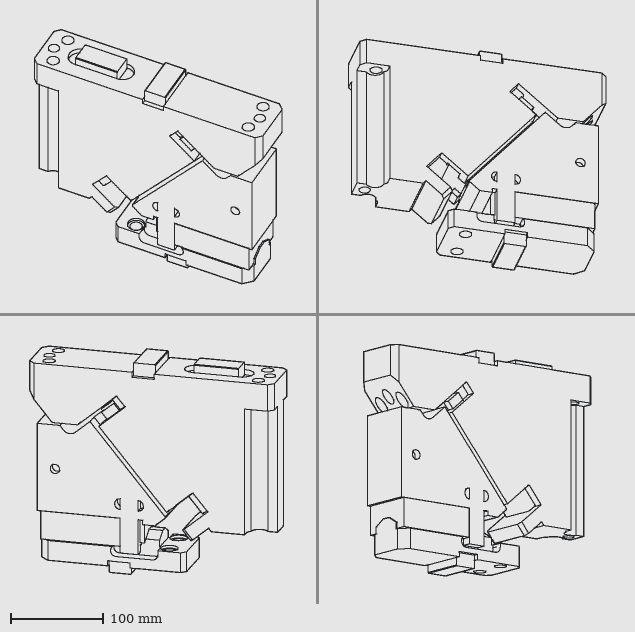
import cadquery as cq
import math


LENGTH = 277.0
WIDTH = 60.0
HALF_WIDTH = WIDTH / 2
TOTAL_HEIGHT = 243.0
SCREW_RADIUS = 6.6
SCREW_Y = 18.0
EDGE_BREAK = 0.8
KEY_LENGTH = 25.2
KEY_WIDTH = 49.9
KEY_HEIGHT = 15.0
KEY_SEAT_DEPTH = 5.8
BASE_Z = KEY_HEIGHT - KEY_SEAT_DEPTH
HOLDER_TOP = TOTAL_HEIGHT - BASE_Z

GUIDE_ANGLE = 50.0
GUIDE_X = 73.7
GUIDE_Z = 81.7
LOWER_SLOT_WIDTH = 26.0
UPPER_SLOT_START = 145.5
UPPER_SLOT_END = 160.5
HOLDER_FACE = 38.8
WEB_DEPTH = 11.4
WEB_HALF = 20.8
WEB_FILLET = 2.2
LOWER_WEB_GAP = 0.8
LIP_DEPTH = 29.5
HEAD_HALF = 22.5
NECK_HALF = 14.5
HOOK_THICKNESS = 15.0
HOOK_ROOT = 11.4
HOOK_CHAMFER = 4.0
SLIDER_FACE = 43.5
SLIDER_END = 155.5
TONGUE_START = 32.0
PAD_FACE = 40.2

HOLDER_BOTTOM = 59.3
HEADER_BOTTOM = 203.5
NOSE_X = 249.5
NOSE_Z = 167.5
NOSE_TOP = 200.0
HOLDER_CHAMFER_LEFT = 6.0
HOLDER_CHAMFER_RIGHT = 6.6
LEG_HALF = 12.0
LEG_FLAT = 10.8
LEG_RECESS = 32.0
RECESS_FLAT_HALF = 22.5
GROOVE_END = 28.8
GROOVE_RIDGE_HALF = 17.2
LEFT_SCREW_X = 20.0
RIGHT_SCREW_X = 256.5
DOWEL_RADIUS = 6.0
LEFT_DOWEL_X = 12.0
RIGHT_DOWEL_X = 261.5
POCKET_START = 30.7
POCKET_END = 108.0
POCKET_RADIUS = 12.7
LONG_KEY_LENGTH = 50.5
LONG_KEY_WIDTH = 24.0
TOP_KEY_X = 146.8

SLIDER_RIGHT = 266.8
SLIDER_TOP = 165.0
SLIDER_TIP_X = 122.0
TIP_Z = 69.8
HEEL_X = 133.2
HEEL_Z = 60.0
PLATE_TOP = 65.0
GROOVE_CORNER = 74.5
GROOVE_RADIUS = 9.5
SADDLE_START = 147.5
SADDLE_END = 263.0
SADDLE_HALF = 22.5
PLATE_BOTTOM = 32.7
FOLLOWER_START = 152.5
FOLLOWER_END = 172.8
FOLLOWER_BOTTOM = 25.2
FOLLOWER_THICKNESS = 10.5
PLATE_INSET = 0.5
SEAT_Z = 81.2
SEAT_RADIUS = 6.0
DRILL_X = 246.5
DRILL_Z = 114.7
DRILL_RADIUS = 5.3
DRILL_DEPTH = 8.3
DRILL_POINT_ANGLE = 118.0

DRIVER_LEFT = 99.2
DRIVER_RIGHT = 264.5
DRIVER_TOP = 31.9
DRIVER_CHAMFER_LEFT = 5.3
DRIVER_CHAMFER_RIGHT = 10.0
RIDGE_START = 131.9
RIDGE_HALF = 17.2
RIDGE_TOP_HALF = 4.7
RIDGE_TOP = 46.8
RIDGE_ANGLE = 30.0
NOTCH_START = 130.2
NOTCH_END = 183.7
NOTCH_BOTTOM = 20.8
NOTCH_RADIUS = 6.5
DRIVER_SCREW_X = 120.5
BORE_RADIUS = 9.5
BORE_DEPTH = 3.0
BOTTOM_KEY_X = 174.2


def guide_point(depth, along):
    """X and Z of a point given in guide coordinates."""
    angle = math.radians(GUIDE_ANGLE)
    x = GUIDE_X + depth * math.sin(angle) + along * math.cos(angle)
    z = GUIDE_Z - depth * math.cos(angle) + along * math.sin(angle)
    return x, z


def plate(points, half_thickness):
    """Plate with a given outline in the XZ plane, symmetric about Y = 0."""
    return cq.Workplane("XZ").polyline(points).close().extrude(half_thickness, both=True)


def guide_block(depths, alongs, half_thickness):
    """Block aligned with the guide, symmetric about Y = 0."""
    (d0, d1), (a0, a1) = depths, alongs
    corners = [guide_point(d0, a0), guide_point(d1, a0), guide_point(d1, a1), guide_point(d0, a1)]
    return plate(corners, half_thickness)


def box(x0, x1, y0, y1, z0, z1):
    """Box between two limits along each axis."""
    return cq.Workplane("XY").box(x1 - x0, y1 - y0, z1 - z0, centered=False).translate((x0, y0, z0))


def both_sides(body):
    """A shape together with its mirror image across Y = 0."""
    return body.union(body.mirror("XZ"))


def arc_radius(height, half_chord):
    """Radius of a circle from the height of a segment and half its chord."""
    return (height**2 + half_chord**2) / (2 * height)


def vertical_hole(x, y, radius, bottom, top):
    """Cylinder along Z used as a cutter."""
    return cq.Workplane("XY", origin=(x, y, bottom)).circle(radius).extrude(top - bottom)


def cross_key(x, bottom, outer_face):
    """Key lying across the unit, with the long edges of its outer face broken."""
    key = cq.Workplane("XY", origin=(x, 0, bottom)).rect(KEY_LENGTH, KEY_WIDTH).extrude(KEY_HEIGHT)
    return key.faces(outer_face).edges("|Y").chamfer(EDGE_BREAK)


def cross_key_seat(x, bottom):
    """Cutter for a key seat that runs across the full width."""
    return cq.Workplane("XY", origin=(x, 0, bottom)).rect(KEY_LENGTH, WIDTH).extrude(KEY_SEAT_DEPTH)


def holder_blank():
    """Main plate with both cross slots, the guide face and the hook."""
    angle = math.radians(GUIDE_ANGLE)
    hook_root = guide_point(HOOK_ROOT, -HOOK_THICKNESS)
    relief_x = hook_root[0] - (hook_root[1] - HOLDER_BOTTOM) / math.tan(angle)
    mouth_depth = (GUIDE_Z + UPPER_SLOT_END * math.sin(angle) - NOSE_Z) / math.cos(angle)
    outline = [
        (0, HOLDER_BOTTOM),
        (0, HOLDER_TOP),
        (LENGTH, HOLDER_TOP),
        (LENGTH, NOSE_TOP),
        (NOSE_X, NOSE_Z),
        guide_point(mouth_depth, UPPER_SLOT_END),
        guide_point(0, UPPER_SLOT_END),
        guide_point(0, UPPER_SLOT_START),
        guide_point(HOLDER_FACE, UPPER_SLOT_START),
        guide_point(HOLDER_FACE, LOWER_SLOT_WIDTH),
        guide_point(0, LOWER_SLOT_WIDTH),
        guide_point(0, 0),
        guide_point(HOLDER_FACE, 0),
        guide_point(HOLDER_FACE, -HOOK_THICKNESS),
        hook_root,
        (relief_x, HOLDER_BOTTOM),
    ]
    body = plate(outline, HALF_WIDTH)
    body = body.faces("<X").edges("|Z").chamfer(HOLDER_CHAMFER_LEFT)
    body = body.faces(">X").edges("|Z").chamfer(HOLDER_CHAMFER_RIGHT)
    tip = guide_point(HOLDER_FACE, -HOOK_THICKNESS / 2)
    for side in (-1, 1):
        edge = cq.selectors.NearestToPointSelector((tip[0], side * HALF_WIDTH, tip[1]))
        body = body.edges(edge).chamfer(HOOK_CHAMFER)
    return body


def guide_webs():
    """Rounded central webs that close the inner end of both cross slots."""
    webs = []
    for alongs in ((LOWER_WEB_GAP, LOWER_SLOT_WIDTH), (UPPER_SLOT_START, UPPER_SLOT_END)):
        web = guide_block((0, WEB_DEPTH), alongs, WEB_HALF)
        front_edge = guide_point(WEB_DEPTH, sum(alongs) / 2)
        for side in (-1, 1):
            edge = cq.selectors.NearestToPointSelector((front_edge[0], side * WEB_HALF, front_edge[1]))
            web = web.edges(edge).fillet(WEB_FILLET)
        webs.append(web)
    return webs


def guide_channel():
    """T-shaped channel for the slider's tongue, open into both cross slots."""
    span = (LOWER_SLOT_WIDTH, UPPER_SLOT_START)
    head = guide_block((WEB_DEPTH, LIP_DEPTH), span, HEAD_HALF)
    neck = guide_block((LIP_DEPTH, HOLDER_FACE), span, NECK_HALF)
    return head.union(neck)


def leg_recess():
    """Clearance for the screws beside the leg: two round grooves side by side."""
    groove_radius = arc_radius(GROOVE_END - LEG_FLAT, GROOVE_RIDGE_HALF - LEG_HALF)
    groove_x = GROOVE_END - groove_radius
    outer_radius = arc_radius(LEG_RECESS - GROOVE_END, RECESS_FLAT_HALF - GROOVE_RIDGE_HALF)
    outer_x = LEG_RECESS - outer_radius
    outline = [
        (0, -HALF_WIDTH),
        (LEG_RECESS, -HALF_WIDTH),
        (LEG_RECESS, -RECESS_FLAT_HALF),
        (outer_x, -RECESS_FLAT_HALF),
        (groove_x, -GROOVE_RIDGE_HALF),
        (LEG_FLAT, -LEG_HALF),
        (0, -LEG_HALF),
    ]
    profile = cq.Workplane("XY", origin=(0, 0, HOLDER_BOTTOM)).polyline(outline).close()
    clearance = profile.extrude(HEADER_BOTTOM - HOLDER_BOTTOM)
    groove = vertical_hole(groove_x, -GROOVE_RIDGE_HALF, groove_radius, HOLDER_BOTTOM, HEADER_BOTTOM)
    outer_groove = vertical_hole(outer_x, -RECESS_FLAT_HALF, outer_radius, HOLDER_BOTTOM, HEADER_BOTTOM)
    return both_sides(clearance.union(groove).union(outer_groove))


def holder_holes():
    """Screw and dowel holes through the holder at both ends."""
    places = [(LEFT_DOWEL_X, 0, DOWEL_RADIUS), (RIGHT_DOWEL_X, 0, DOWEL_RADIUS)]
    for x in (LEFT_SCREW_X, RIGHT_SCREW_X):
        places += [(x, -SCREW_Y, SCREW_RADIUS), (x, SCREW_Y, SCREW_RADIUS)]
    return [vertical_hole(x, y, radius, HOLDER_BOTTOM, HOLDER_TOP) for x, y, radius in places]


def long_key():
    """Key lying lengthwise in the rounded pocket, with its long top edges broken."""
    middle = (POCKET_START + POCKET_END) / 2
    bottom = HOLDER_TOP - KEY_SEAT_DEPTH
    key = cq.Workplane("XY", origin=(middle, 0, bottom)).rect(LONG_KEY_LENGTH, LONG_KEY_WIDTH)
    return key.extrude(KEY_HEIGHT).faces(">Z").edges("|X").chamfer(EDGE_BREAK)


def make_holder():
    body = holder_blank()
    for web in guide_webs():
        body = body.union(web)
    body = body.cut(guide_channel()).cut(leg_recess())
    for hole in holder_holes():
        body = body.cut(hole)
    pocket = cq.Workplane("XY", origin=((POCKET_START + POCKET_END) / 2, 0, HOLDER_TOP))
    pocket = pocket.slot2D(POCKET_END - POCKET_START, 2 * POCKET_RADIUS).extrude(-KEY_SEAT_DEPTH)
    seat_bottom = HOLDER_TOP - KEY_SEAT_DEPTH
    body = body.cut(pocket).cut(cross_key_seat(TOP_KEY_X, seat_bottom))
    return body.union(long_key()).union(cross_key(TOP_KEY_X, seat_bottom, ">Z"))


def slider_blank():
    """Wedge with the inclined face, the rounded groove at its top and the stepped underside."""
    angle = math.radians(GUIDE_ANGLE)
    corner = guide_point(GROOVE_CORNER, SLIDER_END)
    groove_top_x = corner[0] + (SLIDER_TOP - corner[1]) / math.tan(angle)
    tip_along = (SLIDER_TIP_X - guide_point(SLIDER_FACE, 0)[0]) / math.cos(angle)
    outline = [
        guide_point(SLIDER_FACE, tip_along),
        guide_point(SLIDER_FACE, SLIDER_END),
        corner,
        (groove_top_x, SLIDER_TOP),
        (SLIDER_RIGHT, SLIDER_TOP),
        (SLIDER_RIGHT, PLATE_TOP),
        (SADDLE_START, PLATE_TOP),
        (SADDLE_START, HEEL_Z),
        (HEEL_X, HEEL_Z),
        (SLIDER_TIP_X, TIP_Z),
    ]
    body = plate(outline, HALF_WIDTH)
    edge = cq.selectors.NearestToPointSelector((corner[0], 0, corner[1]))
    return body.edges(edge).fillet(GROOVE_RADIUS)


def tongue():
    """T-shaped tongue with a low pad that reaches down to the slider's tip."""
    head = guide_block((WEB_DEPTH, LIP_DEPTH), (TONGUE_START, SLIDER_END), HEAD_HALF)
    neck = guide_block((LIP_DEPTH, SLIDER_FACE), (TONGUE_START, SLIDER_END), NECK_HALF)
    angle = math.radians(GUIDE_ANGLE)
    starts = [(SLIDER_TIP_X - guide_point(depth, 0)[0]) / math.cos(angle) for depth in (PAD_FACE, SLIDER_FACE)]
    pad_outline = [
        guide_point(PAD_FACE, starts[0]),
        guide_point(PAD_FACE, TONGUE_START),
        guide_point(SLIDER_FACE, TONGUE_START),
        guide_point(SLIDER_FACE, starts[1]),
    ]
    return head.union(neck).union(plate(pad_outline, NECK_HALF))


def saddle():
    """Saddle under the slider whose V-shaped underside rests on the driver's ridge."""
    slope = math.tan(math.radians(RIDGE_ANGLE))
    rim_z = RIDGE_TOP - (SADDLE_HALF - RIDGE_TOP_HALF) * slope
    section = [
        (-SADDLE_HALF, PLATE_TOP),
        (-SADDLE_HALF, rim_z),
        (-RIDGE_TOP_HALF, RIDGE_TOP),
        (RIDGE_TOP_HALF, RIDGE_TOP),
        (SADDLE_HALF, rim_z),
        (SADDLE_HALF, PLATE_TOP),
    ]
    profile = cq.Workplane("YZ", origin=(SADDLE_START, 0, 0)).polyline(section).close()
    return profile.extrude(SADDLE_END - SADDLE_START)


def side_plates():
    """Plates set slightly in from both sides of the slider, flanking the driver's ridge."""
    outer_y = PLATE_INSET - HALF_WIDTH
    return both_sides(box(FOLLOWER_START, SADDLE_END, outer_y, -RIDGE_HALF, PLATE_BOTTOM, PLATE_TOP))


def followers():
    """Return followers on both sides that reach down into the driver's notches."""
    inner_y = FOLLOWER_THICKNESS - HALF_WIDTH
    return both_sides(
        box(FOLLOWER_START, FOLLOWER_END, -HALF_WIDTH, inner_y, FOLLOWER_BOTTOM, SEAT_Z + SEAT_RADIUS)
    )


def follower_seats():
    """Round-ended seats on both sides, filled by the followers between their ends."""
    middle = (FOLLOWER_START + FOLLOWER_END) / 2
    seat = cq.Workplane("XZ", origin=(middle, -HALF_WIDTH, SEAT_Z))
    seat = seat.slot2D(FOLLOWER_END - FOLLOWER_START + 2 * SEAT_RADIUS, 2 * SEAT_RADIUS)
    return both_sides(seat.extrude(-FOLLOWER_THICKNESS))


def drilled_hole():
    """Blind hole with a drill point, on both sides of the slider."""
    floor_y = DRILL_DEPTH - HALF_WIDTH
    point_y = floor_y + DRILL_RADIUS / math.tan(math.radians(DRILL_POINT_ANGLE / 2))
    half_section = [(0, -HALF_WIDTH), (DRILL_RADIUS, -HALF_WIDTH), (DRILL_RADIUS, floor_y), (0, point_y)]
    hole = cq.Workplane("XY").polyline(half_section).close().revolve(360, (0, 0, 0), (0, 1, 0))
    return both_sides(hole.translate((DRILL_X, 0, DRILL_Z)))


def make_slider():
    body = slider_blank().cut(follower_seats()).cut(drilled_hole())
    for part in (tongue(), saddle(), side_plates(), followers()):
        body = body.union(part)
    return body


def driver_base():
    """Base block with chamfered vertical edges."""
    base = box(DRIVER_LEFT, DRIVER_RIGHT, -HALF_WIDTH, HALF_WIDTH, BASE_Z, DRIVER_TOP)
    base = base.faces("<X").edges("|Z").chamfer(DRIVER_CHAMFER_LEFT)
    return base.faces(">X").edges("|Z").chamfer(DRIVER_CHAMFER_RIGHT)


def ridge():
    """Roof-shaped ridge along the base."""
    eaves_z = RIDGE_TOP - (RIDGE_HALF - RIDGE_TOP_HALF) * math.tan(math.radians(RIDGE_ANGLE))
    section = [
        (-RIDGE_HALF, DRIVER_TOP),
        (-RIDGE_HALF, eaves_z),
        (-RIDGE_TOP_HALF, RIDGE_TOP),
        (RIDGE_TOP_HALF, RIDGE_TOP),
        (RIDGE_HALF, eaves_z),
        (RIDGE_HALF, DRIVER_TOP),
    ]
    profile = cq.Workplane("YZ", origin=(RIDGE_START, 0, 0)).polyline(section).close()
    return profile.extrude(DRIVER_RIGHT - RIDGE_START)


def follower_notches():
    """Round-ended notches beside the ridge, open upward, that clear the followers."""
    center_z = NOTCH_BOTTOM + NOTCH_RADIUS
    rounded = cq.Workplane("XZ", origin=((NOTCH_START + NOTCH_END) / 2, -HALF_WIDTH, center_z))
    rounded = rounded.slot2D(NOTCH_END - NOTCH_START, 2 * NOTCH_RADIUS).extrude(RIDGE_HALF - HALF_WIDTH)
    mouth = box(NOTCH_START, NOTCH_END - NOTCH_RADIUS, -HALF_WIDTH, -RIDGE_HALF, center_z, DRIVER_TOP)
    return both_sides(rounded.union(mouth))


def driver_screw_holes():
    """Counterbored screw holes in front of the ridge."""
    floor_z = DRIVER_TOP - BORE_DEPTH
    through = vertical_hole(DRIVER_SCREW_X, -SCREW_Y, SCREW_RADIUS, BASE_Z, DRIVER_TOP)
    bore = vertical_hole(DRIVER_SCREW_X, -SCREW_Y, BORE_RADIUS, floor_z, DRIVER_TOP)
    return both_sides(through.union(bore))


def make_driver():
    body = driver_base().cut(follower_notches()).cut(driver_screw_holes())
    body = body.cut(cross_key_seat(BOTTOM_KEY_X, BASE_Z))
    return body.union(ridge()).union(cross_key(BOTTOM_KEY_X, 0, "<Z"))


holder = make_holder()
slider = make_slider()
driver = make_driver()

result = cq.Compound.makeCompound([holder.solids().val(), slider.solids().val(), driver.solids().val()])